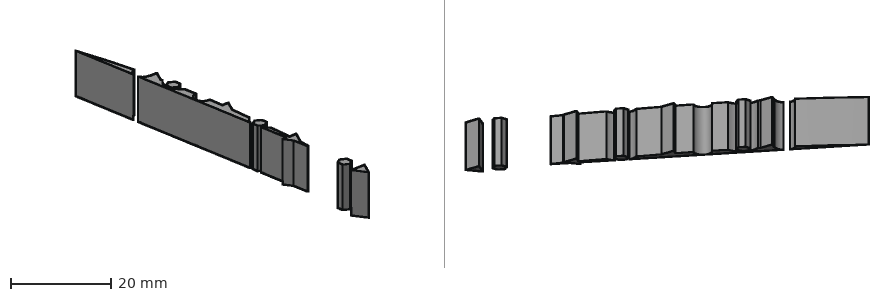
import cadquery as cq
import math

height = 10.0

trailing_x = 64.6
trailing_underside_y = 2.3
trailing_top_y = 2.55
upper_curve_points = [
    (7.4, 1.3),
    (14.6, 2.3),
    (27.9, 3.2),
    (37.7, 3.45),
    (46.2, 3.3),
    (54.85, 3.0),
    (61.75, 2.8),
]

triangle_sides = 3
triangle_radius = 2.1
triangle_pitch = 20.0
overall_length = 82.0
bar_x = overall_length - triangle_radius
bar_y = 2.6
front_rib_y = 2.6
tail_rib_y = 2.9
overall_width = 5.1
middle_rib_y = overall_width - triangle_radius * math.sin(math.pi / triangle_sides)

pin_sides = 6
pin_radius = 1.5
pin_pitch = 25.0
seated_pin_y = 3.0
loose_pin_y = 2.6
seated_pin_centres = [(pin_pitch, seated_pin_y), (2 * pin_pitch, seated_pin_y)]
loose_pin_centre = (3 * pin_pitch, loose_pin_y)

nose_cut_centre = (16.65, 2.55)
nose_cut_radius = 2.05
notch_centre = (33.3, 3.2)
notch_radius = 1.9
pin_relief_y = 5.2
pin_relief_radius = 3.7


def regular_prism(centre, radius, sides):
    """Upright prism with its first corner toward +X."""
    x, y = centre
    angles = [2 * math.pi * i / sides for i in range(sides)]
    corners = [(x + radius * math.cos(a), y + radius * math.sin(a)) for a in angles]
    return cq.Workplane("XY").polyline(corners).close().extrude(height)


def round_cutter(centre, radius):
    """Full-height cylinder to cut from the blade."""
    return cq.Workplane("XY").center(*centre).circle(radius).extrude(height)


def wing_section():
    """Flat underside and curved upper side."""
    trailing_top = (trailing_x, trailing_top_y)
    return (
        cq.Workplane("XY")
        .spline([*upper_curve_points, trailing_top], includeCurrent=True)
        .lineTo(trailing_x, trailing_underside_y)
        .close()
        .extrude(height)
    )


def blade_pieces():
    """Ribbed wing section, cut through into nose, middle and tail solids."""
    blade = wing_section()
    for pitches_back, rib_y in enumerate([tail_rib_y, middle_rib_y, front_rib_y], start=1):
        rib_x = bar_x - pitches_back * triangle_pitch
        blade = blade.union(regular_prism((rib_x, rib_y), triangle_radius, triangle_sides))

    blade = blade.cut(round_cutter(nose_cut_centre, nose_cut_radius))
    blade = blade.cut(round_cutter(notch_centre, notch_radius))
    for pin_x, _ in seated_pin_centres:
        blade = blade.cut(round_cutter((pin_x, pin_relief_y), pin_relief_radius))
    return blade.solids().sort(lambda solid: solid.Center().x).vals()


nose, middle, tail = blade_pieces()
pin_centres = [*seated_pin_centres, loose_pin_centre]
pins = [regular_prism(centre, pin_radius, pin_sides).val() for centre in pin_centres]
triangular_bar = regular_prism((bar_x, bar_y), triangle_radius, triangle_sides).val()

result = cq.Compound.makeCompound([nose, middle, tail, *pins, triangular_bar])